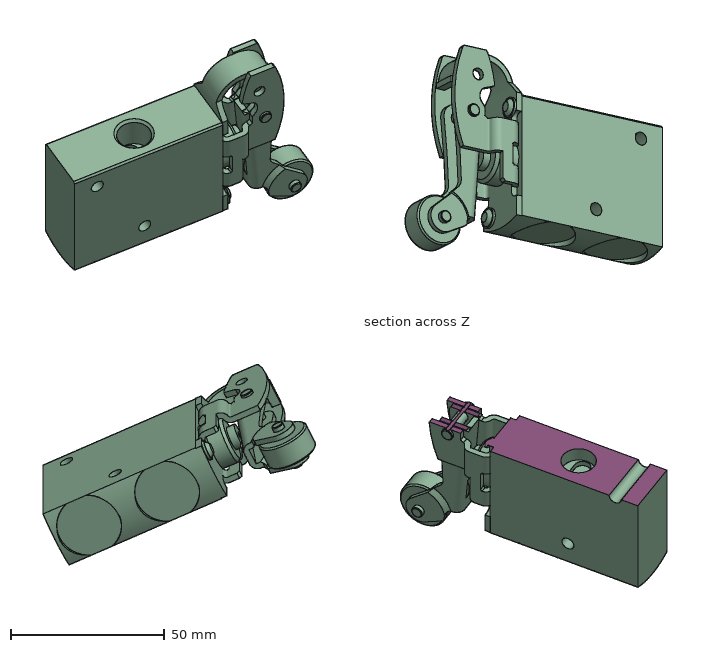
import cadquery as cq
import math


TOTAL_LENGTH = 92.0
TOTAL_HEIGHT = 69.7
DIAGONAL = math.sqrt(0.5)

WIDTH = 20.0
HALF_WIDTH = WIDTH / 2
LENGTH = 55.0
HEIGHT = 44.0
BELLY_RISE = 1.9
TOP_CHAMFER = 0.6
SIDE_HOLE_DIA = 4.4
SIDE_HOLES = [(-46.6, 37.8), (-29.0, 9.85)]
PORT_DIA = 11.4
PORT_MOUTH_DIA = 13.2
PORT_DEPTH = 11.0
SLOT_LENGTH = 10.7
SLOT_WIDTH = 5.5
SLOT_DEPTH = 1.8
LOWER_SEAT_DIA = 21.2
LOWER_SEAT_MIDDLE = -29.0
LOWER_SEAT_PITCH = 28.2

PLUNGER_Z = 22.8
COLLAR_DIA = 15.9
COLLAR_REACH = 8.4
COLLAR_CHAMFER = 1.1
PLUNGER_DIA = 8.0
PLUNGER_REACH = 11.1
TIP_DIA = 2.1
TIP_LENGTH = 0.5

SHEET = 2.0

PLATE_HALF_WIDTH = 9.8
STRIP_HALF_WIDTH = 4.9
FLARE_BOTTOM = 44.35
FLARE_TOP = FLARE_BOTTOM + PLATE_HALF_WIDTH - STRIP_HALF_WIDTH
STRIP_TOP = 57.2
REAR_CURL = 10.5
FRONT_CURL = 9.85
STRIP_FRONT = 23.0
LIP_FRONT = 24.1
LIP_HALF_WIDTH = 4.2
RELIEF_DIA = 3.9

WING_BOTTOM = 12.6
WING_TOP = 34.2
WING_STEP_Z = 22.8
WING_STEP_Y = 7.45
WING_CORNER = 0.9
BASE_BEND = 3.2
FRONT_BEND = 3.0
CHEEK_BEND = 0.7
FRONT_BEND_Y = 7.8
CHEEK_OUTER = 7.0
CHEEK_INNER = CHEEK_OUTER - SHEET
BENDS_RUN = CHEEK_OUTER + CHEEK_BEND - (HALF_WIDTH - FRONT_BEND)
BENDS_RISE = math.sqrt((FRONT_BEND + CHEEK_BEND) ** 2 - BENDS_RUN**2)
CHEEK_START_Y = FRONT_BEND_Y + BENDS_RISE
WINDOW_HEIGHT = 7.8
WINDOW_DEPTH = 3.6
WINDOW_CHAMFER = 0.55
CHEEK_TOP = 57.8
SPARE_HOLE_DIA = 4.0
SPARE_HOLE = (15.3, 48.9)

SCREWS = [(-6.3, 39.9), (6.3, 5.3)]
WASHER_DIA = 6.8
WASHER_THICKNESS = 0.8
HEAD_DIA = 5.9
HEAD_TOP_DIA = 3.4
HEAD_HEIGHT = 1.3

HINGE = (17.3, 35.8)
HINGE_PIN_DIA = 4.1
AXLE_PIN_DIA = 4.0
PIN_LENGTH = 16.0
PIN_CHAMFER = 0.3
ROLLER_DIA = 17.0
ROLLER_LOW_Z = CHEEK_TOP - TOTAL_HEIGHT
AXLE = (TOTAL_LENGTH - LENGTH - ROLLER_DIA / 2, ROLLER_LOW_Z + ROLLER_DIA / 2)
ROLLER_WIDTH = 8.2
ROLLER_CHAMFER = 0.55

ARM_HALF_WIDTH = 4.8
FORK_HALF_WIDTH = 6.35
FORK_THICKNESS = 1.8
FORK_END_RADIUS = 4.9
FORK_UPPER_ANGLE = 48
FORK_LOWER_ANGLE = -117
HINGE_END_TOP = 40.7
HINGE_END_FRONT = 22.2
JOGGLE_INNER = 9.7
JOGGLE_OUTER = 11.4
WALL_REACH = 55.2
WEB_TOP = (10.95, 37.5)
WEB_BOTTOM = (13.9, -0.4)
ARM_BEND = 2.9
PAD_HALF_WIDTH = 1.75
PADS = [(18.7, 22.1, 0.55), (4.8, 12.7, 0.8)]


def at_x(x):
    """Sketch plane with Y to the right and Z up, facing +X."""
    return cq.Workplane("YZ", origin=(x, 0, 0))


def on_face(y, x=0, z=0):
    """Sketch plane facing +Y; its own right is -X and its up is Z."""
    return cq.Workplane(cq.Plane(origin=(x, y, z), xDir=(-1, 0, 0), normal=(0, 1, 0)))


def cross_bar(center, diameter, length):
    """Round bar along X, centred on X = 0."""
    return at_x(-length / 2).center(*center).circle(diameter / 2).extrude(length)


def both_sides(half):
    return half.union(half.mirror("YZ"))



def end_profile(half_width, plane):
    """Rectangle with the housing's rounded underside, cut off at the given half width."""
    belly_radius = (HALF_WIDTH**2 + BELLY_RISE**2) / (2 * BELLY_RISE)
    side_z = belly_radius - math.sqrt(belly_radius**2 - half_width**2)
    return (
        plane.moveTo(-half_width, HEIGHT)
        .lineTo(-half_width, side_z)
        .threePointArc((0, 0), (half_width, side_z))
        .lineTo(half_width, HEIGHT)
    )


def housing():
    block = end_profile(HALF_WIDTH, on_face(-LENGTH)).close().extrude(LENGTH)
    block = block.edges("|Y and >Z").chamfer(TOP_CHAMFER)
    for center in SIDE_HOLES:
        block = block.cut(cross_bar(center, SIDE_HOLE_DIA, WIDTH))
    top = cq.Workplane("XY", origin=(0, -LENGTH / 2, HEIGHT))
    mouth_depth = (PORT_MOUTH_DIA - PORT_DIA) / 2
    mouth = top.circle(PORT_MOUTH_DIA / 2).workplane(offset=-mouth_depth).circle(PORT_DIA / 2).loft()
    port = (
        top.circle(PORT_DIA / 2).extrude(-PORT_DEPTH)
        .union(mouth)
        .union(top.slot2D(SLOT_LENGTH, SLOT_WIDTH).extrude(-PORT_DEPTH - SLOT_DEPTH))
    )
    block = block.cut(port)
    for side in (-1, 1):
        seat_y = LOWER_SEAT_MIDDLE + side * LOWER_SEAT_PITCH / 2
        seat = cq.Workplane("XY").center(0, seat_y).circle(LOWER_SEAT_DIA / 2).extrude(BELLY_RISE)
        block = block.cut(seat)
    return block


def plunger_unit():
    collar = on_face(0, z=PLUNGER_Z).circle(COLLAR_DIA / 2).extrude(COLLAR_REACH)
    collar = collar.faces(">Y").chamfer(COLLAR_CHAMFER)
    plunger = on_face(0, z=PLUNGER_Z).circle(PLUNGER_DIA / 2).extrude(PLUNGER_REACH)
    tip = on_face(PLUNGER_REACH, z=PLUNGER_Z).circle(TIP_DIA / 2).extrude(TIP_LENGTH)
    return collar.union(plunger).union(tip)


def screw(x, z):
    washer = on_face(SHEET, x, z).circle(WASHER_DIA / 2).extrude(WASHER_THICKNESS)
    head = (
        on_face(SHEET + WASHER_THICKNESS, x, z).circle(HEAD_DIA / 2)
        .workplane(offset=HEAD_HEIGHT).circle(HEAD_TOP_DIA / 2).loft()
    )
    return washer.union(head)


def back_plate():
    """Flat plate against the housing that narrows upward into a strip curled over the top."""
    curl_z = STRIP_TOP - REAR_CURL
    end_z = STRIP_TOP - FRONT_CURL
    end_y = STRIP_FRONT - FRONT_CURL
    rear_inner = REAR_CURL - SHEET
    front_inner = FRONT_CURL - SHEET
    side_shape = (
        at_x(-WIDTH / 2)
        .lineTo(0, curl_z)
        .threePointArc((REAR_CURL * (1 - DIAGONAL), curl_z + REAR_CURL * DIAGONAL), (REAR_CURL, STRIP_TOP))
        .lineTo(end_y, STRIP_TOP)
        .threePointArc(
            (end_y + FRONT_CURL * DIAGONAL, end_z + FRONT_CURL * DIAGONAL), (STRIP_FRONT, end_z)
        )
        .lineTo(STRIP_FRONT - SHEET, end_z)
        .threePointArc(
            (end_y + front_inner * DIAGONAL, end_z + front_inner * DIAGONAL), (end_y, STRIP_TOP - SHEET)
        )
        .lineTo(REAR_CURL, STRIP_TOP - SHEET)
        .threePointArc(
            (REAR_CURL - rear_inner * DIAGONAL, curl_z + rear_inner * DIAGONAL), (SHEET, curl_z)
        )
        .lineTo(SHEET, 0)
        .close()
        .extrude(WIDTH)
    )
    outline = (
        end_profile(PLATE_HALF_WIDTH, on_face(0))
        .lineTo(PLATE_HALF_WIDTH, FLARE_BOTTOM)
        .lineTo(STRIP_HALF_WIDTH, FLARE_TOP)
        .lineTo(STRIP_HALF_WIDTH, STRIP_TOP)
        .lineTo(-STRIP_HALF_WIDTH, STRIP_TOP)
        .lineTo(-STRIP_HALF_WIDTH, FLARE_TOP)
        .lineTo(-PLATE_HALF_WIDTH, FLARE_BOTTOM)
        .close()
        .extrude(STRIP_FRONT)
    )
    plate = side_shape.intersect(outline)
    relief_height = WING_TOP - WING_BOTTOM + 2 * RELIEF_DIA
    for side in (-1, 1):
        relief = (
            on_face(0, side * HALF_WIDTH, (WING_BOTTOM + WING_TOP) / 2)
            .rect(2 * BASE_BEND, relief_height).extrude(SHEET)
            .edges("|Y").fillet(RELIEF_DIA / 2)
        )
        plate = plate.cut(relief)
    lip_length = LIP_FRONT - STRIP_FRONT + SHEET
    lip = cq.Workplane("XY").box(2 * LIP_HALF_WIDTH, lip_length, SHEET)
    return plate.union(lip.translate((0, LIP_FRONT - lip_length / 2, end_z - SHEET / 2)))


def wing():
    """Side sheet at +X: bent forward off the plate, then inward, then forward into the cheek."""
    front_center = (HALF_WIDTH - FRONT_BEND, FRONT_BEND_Y)
    cheek_center = (CHEEK_OUTER + CHEEK_BEND, CHEEK_START_Y)
    tangent = math.atan2(BENDS_RISE, BENDS_RUN)

    def front_arc(radius, angle):
        return (
            front_center[0] + radius * math.cos(angle),
            front_center[1] + radius * math.sin(angle),
        )

    def cheek_arc(radius, angle):
        return (
            cheek_center[0] - radius * math.cos(angle),
            cheek_center[1] - radius * math.sin(angle),
        )

    inner_front = FRONT_BEND - SHEET
    inner_cheek = CHEEK_BEND + SHEET
    inner_base = BASE_BEND - SHEET
    base_x = HALF_WIDTH - BASE_BEND
    section = (
        cq.Workplane("XY", origin=(0, 0, WING_BOTTOM))
        .moveTo(base_x, 0)
        .threePointArc(
            (base_x + BASE_BEND * DIAGONAL, BASE_BEND * (1 - DIAGONAL)), (HALF_WIDTH, BASE_BEND)
        )
        .lineTo(HALF_WIDTH, FRONT_BEND_Y)
        .threePointArc(front_arc(FRONT_BEND, tangent / 2), front_arc(FRONT_BEND, tangent))
        .threePointArc(cheek_arc(CHEEK_BEND, tangent / 2), cheek_arc(CHEEK_BEND, 0))
        .lineTo(CHEEK_INNER, CHEEK_START_Y)
        .threePointArc(cheek_arc(inner_cheek, tangent / 2), cheek_arc(inner_cheek, tangent))
        .threePointArc(front_arc(inner_front, tangent / 2), front_arc(inner_front, 0))
        .lineTo(HALF_WIDTH - SHEET, BASE_BEND)
        .threePointArc(
            (base_x + inner_base * DIAGONAL, BASE_BEND - inner_base * DIAGONAL), (base_x, SHEET)
        )
        .close()
    )
    sheet = section.extrude(WING_TOP - WING_BOTTOM)
    outline = (
        at_x(0)
        .moveTo(0, WING_BOTTOM)
        .lineTo(WING_STEP_Y - WING_CORNER, WING_BOTTOM)
        .lineTo(WING_STEP_Y, WING_BOTTOM + WING_CORNER)
        .lineTo(WING_STEP_Y, WING_STEP_Z)
        .lineTo(CHEEK_START_Y, WING_STEP_Z)
        .lineTo(CHEEK_START_Y, WING_TOP)
        .lineTo(0, WING_TOP)
        .close()
        .extrude(WIDTH)
    )
    window = (
        at_x(base_x).center(0, PLUNGER_Z)
        .rect(2 * WINDOW_DEPTH, WINDOW_HEIGHT).extrude(WIDTH)
        .edges("|X").chamfer(WINDOW_CHAMFER)
    )
    return sheet.intersect(outline).cut(window)


def cheek():
    """Flat lever-shaped plate at +X that carries the hinge pin."""
    plate = (
        at_x(CHEEK_INNER)
        .moveTo(21.1, WING_STEP_Z)
        .threePointArc((24.4, 41.9), (21.35, 57.05))
        .lineTo(20.7, CHEEK_TOP)
        .lineTo(12.1, CHEEK_TOP)
        .lineTo(11.5, 57.0)
        .threePointArc((9.9, 52.1), (8.8, 46.7))
        .lineTo(8.8, 46.0)
        .lineTo(13.1, 44.4)
        .threePointArc((14.5, 41.9), (14.2, 39.9))
        .lineTo(12.6, 37.9)
        .lineTo(12.6, 35.0)
        .lineTo(CHEEK_START_Y, WING_TOP)
        .lineTo(CHEEK_START_Y, WING_STEP_Z)
        .close()
        .extrude(SHEET)
    )
    plate = plate.cut(cross_bar(HINGE, HINGE_PIN_DIA, WIDTH))
    return plate.cut(cross_bar(SPARE_HOLE, SPARE_HOLE_DIA, WIDTH))


def valve_base():
    """Housing with the bracket, the screws and the plunger unit as one solid."""
    base = housing().union(back_plate()).union(both_sides(wing().union(cheek())))
    base = base.union(plunger_unit())
    for x, z in SCREWS:
        base = base.union(screw(x, z))
    return base



def arm_outline():
    """Side outline of the arm from the round hinge end down to the round roller end."""
    axle_y, axle_z = AXLE
    upper = math.radians(FORK_UPPER_ANGLE)
    lower = math.radians(FORK_LOWER_ANGLE)
    middle = (upper + lower) / 2

    def fork_end(angle):
        return (axle_y + FORK_END_RADIUS * math.cos(angle), axle_z + FORK_END_RADIUS * math.sin(angle))

    return (
        at_x(-HALF_WIDTH)
        .moveTo(*WEB_TOP)
        .lineTo(12.6, 38.1)
        .threePointArc((14.5, 39.75), (HINGE[0], HINGE_END_TOP))
        .threePointArc((20.8, 39.3), (HINGE_END_FRONT, HINGE[1]))
        .lineTo(21.0, WING_STEP_Z)
        .lineTo(20.4, 12.0)
        .threePointArc((20.7, 10.5), (21.4, 9.3))
        .lineTo(25.1, 5.9)
        .lineTo(*fork_end(upper))
        .threePointArc(fork_end(middle), fork_end(lower))
        .lineTo(19.4, -4.2)
        .lineTo(18.9, -1.1)
        .lineTo(18.0, WEB_BOTTOM[1])
        .lineTo(*WEB_BOTTOM)
        .close()
        .extrude(WIDTH)
    )


def joggled_walls():
    """Two side walls, turned about the roller axis, that step outward near the roller."""
    fork_inner = FORK_HALF_WIDTH - FORK_THICKNESS
    wall_inner = ARM_HALF_WIDTH - SHEET
    half = (
        cq.Workplane("XZ", origin=(0, AXLE[0], AXLE[1]))
        .moveTo(fork_inner, 0)
        .lineTo(FORK_HALF_WIDTH, 0)
        .lineTo(FORK_HALF_WIDTH, JOGGLE_INNER)
        .lineTo(ARM_HALF_WIDTH, JOGGLE_OUTER)
        .lineTo(ARM_HALF_WIDTH, WALL_REACH)
        .lineTo(wall_inner, WALL_REACH)
        .lineTo(wall_inner, JOGGLE_OUTER)
        .lineTo(fork_inner, JOGGLE_INNER)
        .close()
        .revolve(360, (0, 0, 0), (1, 0, 0))
    )
    return both_sides(half)


def web_band(front, back):
    """Inclined slab lying between two distances in +Y from the back face of the arm."""
    return (
        at_x(-ARM_HALF_WIDTH)
        .moveTo(WEB_TOP[0] + back, WEB_TOP[1])
        .lineTo(WEB_TOP[0] + front, WEB_TOP[1])
        .lineTo(WEB_BOTTOM[0] + front, WEB_BOTTOM[1])
        .lineTo(WEB_BOTTOM[0] + back, WEB_BOTTOM[1])
        .close()
        .extrude(2 * ARM_HALF_WIDTH)
    )


def web_y(z):
    """Y of the back face of the arm at height z."""
    slope = (WEB_TOP[0] - WEB_BOTTOM[0]) / (WEB_TOP[1] - WEB_BOTTOM[1])
    return WEB_BOTTOM[0] + slope * (z - WEB_BOTTOM[1])


def pad(bottom, top, height):
    """Low rounded bump on the back of the arm, facing the housing."""
    middle = (bottom + top) / 2
    return (
        at_x(-PAD_HALF_WIDTH)
        .moveTo(web_y(bottom), bottom)
        .threePointArc((web_y(middle) - height, middle), (web_y(top), top))
        .lineTo(web_y(top) + SHEET, top)
        .lineTo(web_y(bottom) + SHEET, bottom)
        .close()
        .extrude(2 * PAD_HALF_WIDTH)
    )


def arm():
    """Channel of two walls and a web with rounded back corners, bored for both pins."""
    channel = joggled_walls().intersect(arm_outline()).union(web_band(SHEET, 0))
    solid_back = web_band(2 * ARM_BEND, 0)
    corner_waste = solid_back.cut(solid_back.faces("<Y").edges("not |X").fillet(ARM_BEND))
    body = channel.cut(corner_waste)
    for bottom, top, height in PADS:
        body = body.union(pad(bottom, top, height))
    body = body.cut(cross_bar(HINGE, HINGE_PIN_DIA, WIDTH))
    return body.cut(cross_bar(AXLE, AXLE_PIN_DIA, WIDTH))


def roller():
    wheel = cross_bar(AXLE, ROLLER_DIA, ROLLER_WIDTH).faces("<X or >X").chamfer(ROLLER_CHAMFER)
    return wheel.cut(cross_bar(AXLE, AXLE_PIN_DIA, WIDTH))


def pin(center, diameter):
    return cross_bar(center, diameter, PIN_LENGTH).faces("<X or >X").chamfer(PIN_CHAMFER)


base_body = valve_base()
arm_body = arm()
roller_body = roller()
pins = [pin(HINGE, HINGE_PIN_DIA), pin(AXLE, AXLE_PIN_DIA)]

result = cq.Compound.makeCompound(
    [base_body.val(), arm_body.val(), roller_body.val(), *[body.val() for body in pins]]
)